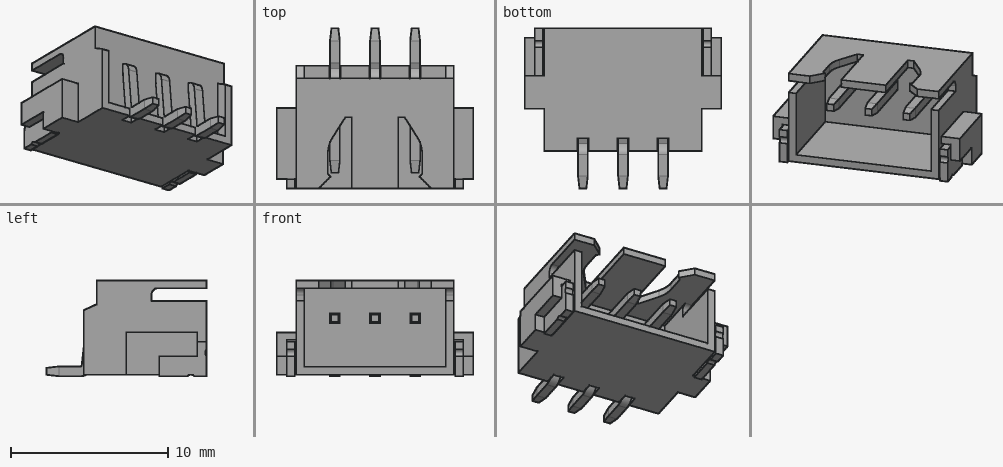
import cadquery as cq
import math


body_width = 10.02
body_bottom = 0.1
body_top = 6.1
wall = 0.5
floor_top = body_bottom + wall
roof_bottom = body_top - wall
cavity_depth = 6.0
back_wall_end = 7.0
body_depth = 7.82
cheek_back_top = 4.21
cheek_front_top = 4.59
inner_width = body_width - 2 * wall

side_slot_depth = 3.5
side_slot_bottom = 4.8
side_slot_radius = 0.4

tongue_half_width = 1.49
opening_depth = 4.52
opening_end_x = 1.89
opening_max_x = 3.0
opening_bend_y = 2.78
opening_bend_radius = 2.0
throat_x = 2.82
throat_y = 0.76
throat_chamfer = opening_max_x - throat_x
mouth_x = throat_x + throat_y

total_width = 12.5
wing_front = 0.6
wing_back = 5.12
wing_top = 2.8
wing_notch_depth = 3.02
wing_notch_top = 1.28
channel_top = 2.31

plate_outer_x = 5.62
plate_thickness = 0.52
plate_top = 2.19
groove_width = 0.42
groove_depth = 0.1
front_groove_z = 1.5
bottom_groove_y = 1.0

pin_count = 3
pin_pitch = 2.55
pin_size = 0.64
pin_z = 3.7
pin_front = 1.0
pin_back = 10.2
tip_length = 0.8
tip_size = 0.45
leg_angle = math.radians(6.3)
heel_y = 7.96
bend_inner_radius = 0.06
bend_outer_radius = bend_inner_radius + pin_size
pin_gap_width = 0.7


def block(x_min, x_max, y_min, y_max, z_min, z_max):
    """Axis-aligned box given by its limits."""
    size = (x_max - x_min, y_max - y_min, z_max - z_min)
    return cq.Workplane("XY").box(*size, centered=False).translate((x_min, y_min, z_min))


def centered_block(width, y_min, y_max, z_min, z_max):
    """Box that is symmetric about X = 0."""
    return block(-width / 2, width / 2, y_min, y_max, z_min, z_max)


def side_extrusion(points, width):
    """Solid with a (Y, Z) outline, symmetric about X = 0."""
    return cq.Workplane("YZ").polyline(points).close().extrude(width / 2, both=True)


def both_sides(solid):
    """Add the mirror image across X = 0."""
    return solid.union(solid.mirror("YZ"))


def pin_x(index):
    return (index - (pin_count - 1) / 2) * pin_pitch


def latch_opening():
    """Roof opening on the +X side, with a smooth bend in its slanted flank."""
    outline = [
        (tongue_half_width, 0),
        (tongue_half_width, opening_depth),
        (opening_end_x, opening_depth),
        (opening_max_x, opening_bend_y),
        (opening_max_x, throat_y + throat_chamfer),
        (throat_x, throat_y),
        (mouth_x, 0),
    ]
    opening = cq.Workplane("XY").workplane(offset=roof_bottom).polyline(outline).close().extrude(wall)
    bend = cq.NearestToPointSelector((opening_max_x, opening_bend_y, roof_bottom + wall / 2))
    return opening.edges("|Z").edges(bend).fillet(opening_bend_radius)


def housing():
    outline = [
        (0, body_bottom),
        (body_depth, body_bottom),
        (body_depth, cheek_back_top),
        (back_wall_end, cheek_front_top),
        (back_wall_end, body_top),
        (0, body_top),
    ]
    body = side_extrusion(outline, body_width)
    body = body.cut(centered_block(inner_width, 0, cavity_depth, floor_top, roof_bottom))
    body = body.cut(centered_block(inner_width, back_wall_end, body_depth, floor_top, body_top))

    side_slot = centered_block(body_width, 0, side_slot_depth, side_slot_bottom, roof_bottom)
    body = body.cut(side_slot.edges(">Y and >Z").fillet(side_slot_radius))
    body = body.cut(both_sides(latch_opening()))

    pin_gap = centered_block(pin_gap_width, back_wall_end, body_depth, body_bottom, floor_top)
    for index in range(pin_count):
        body = body.cut(pin_gap.translate((pin_x(index), 0, 0)))
    return body


def wing():
    """Wing on the +X side with the channel that receives the anchor plate."""
    body_side = body_width / 2
    solid = block(body_side, total_width / 2, wing_front, wing_back, body_bottom, wing_top)
    notch = block(body_side, total_width / 2, wing_front, wing_notch_depth, body_bottom, wing_notch_top)
    channel = block(body_side, plate_outer_x, wing_front, wing_notch_depth, body_bottom, channel_top)
    return solid.cut(notch).cut(channel)


def anchor_plate():
    """Anchor plate on the +X side, with a shallow round groove in its front and its foot."""
    inner_x = plate_outer_x - plate_thickness
    plate = block(inner_x, plate_outer_x, 0, wing_notch_depth, 0, plate_top)
    radius = (groove_width ** 2 / 4 + groove_depth ** 2) / (2 * groove_depth)
    center_offset = groove_depth - radius
    for y, z in [(center_offset, front_groove_z), (bottom_groove_y, center_offset)]:
        groove = cq.Workplane("YZ").workplane(offset=inner_x).center(y, z).circle(radius)
        plate = plate.cut(groove.extrude(plate_thickness))
    return plate


def pin_tip(y_base, y_end, z):
    """Square taper along Y, from the full pin section down to the tip."""
    base = cq.Workplane("XZ", origin=(0, y_base, z)).rect(pin_size, pin_size)
    return base.workplane(offset=y_base - y_end).rect(tip_size, tip_size).loft()


def pin():
    """Bent pin: contact inside the cavity, sloping leg behind it, tail on Z = 0."""
    upper_z = pin_z + pin_size / 2
    lower_z = pin_z - pin_size / 2
    contact_start = pin_front + tip_length
    tail_end = pin_back - tip_length
    leg_width_y = pin_size / math.cos(leg_angle)

    def leg_back_y(z):
        return heel_y - (z - pin_size) * math.tan(leg_angle)

    outer_bends = [(leg_back_y(upper_z), upper_z), (leg_back_y(0) - leg_width_y, 0)]
    inner_bends = [(leg_back_y(pin_size), pin_size), (leg_back_y(lower_z) - leg_width_y, lower_z)]
    outline = [
        (contact_start, upper_z),
        outer_bends[0],
        inner_bends[0],
        (tail_end, pin_size),
        (tail_end, 0),
        outer_bends[1],
        inner_bends[1],
        (contact_start, lower_z),
    ]
    solid = side_extrusion(outline, pin_size)
    for bends, radius in [(outer_bends, bend_outer_radius), (inner_bends, bend_inner_radius)]:
        for y, z in bends:
            corner = cq.NearestToPointSelector((0, y, z))
            solid = solid.edges("|X").edges(corner).fillet(radius)
    solid = solid.union(pin_tip(contact_start, pin_front, pin_z))
    return solid.union(pin_tip(tail_end, pin_back, pin_size / 2))


result = housing().union(both_sides(wing().union(anchor_plate())))
for pin_index in range(pin_count):
    result = result.union(pin().translate((pin_x(pin_index), 0, 0)))